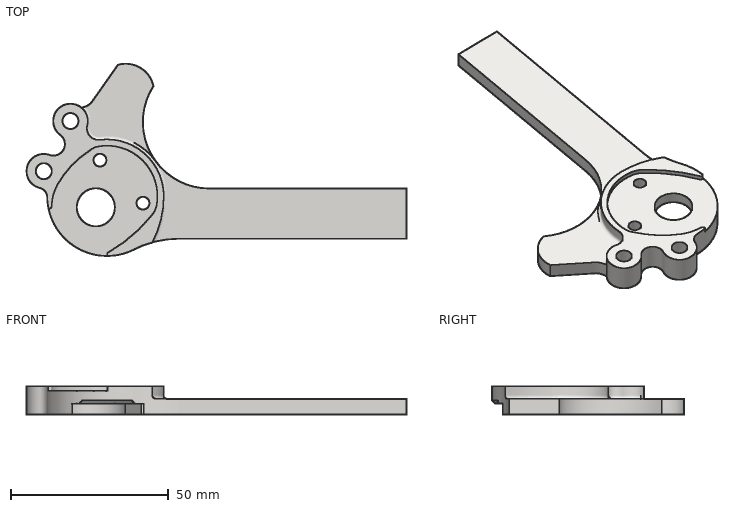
import cadquery as cq
import math


HUB_HEIGHT = 9.0
PLATE_HEIGHT = 5.0
RECESS_DEPTH = 1.5
POCKET_DEPTH = 3.5
OVERLAP = 1.0

HUB_OFFSET = 5.0
HUB_CENTER = (HUB_OFFSET * math.sqrt(0.5), HUB_OFFSET * math.sqrt(0.5))
HUB_BACK_ANGLE = 45.0
HUB_FRONT_ANGLE = HUB_BACK_ANGLE + 180.0
HUB_RADIUS = 19.0
STEP_FILLET = 1.0
WALL_RADIUS = HUB_RADIUS - STEP_FILLET
WALL_FLANK_RADIUS = 31.5
WALL_FLANK_ANGLE = 40.0
LUG_EXIT_ANGLE = 60.0
LUG_WALL_ANGLE = 10.0

BORE_CENTER = (0.0, 0.0)
BORE_DIAMETER = 12.0
SCREW_HOLE_DIAMETER = 4.0
SCREW_CIRCLE_RADIUS = 15.0
SCREW_ANGLES = (5.0, 85.0)

UPPER_LUG = (-8.05, 27.35)
LOWER_LUG = (-16.5, 11.45)
LUG_RADIUS = 5.5
UPPER_LUG_OUTER_ANGLE = 150.0
LOWER_LUG_OUTER_ANGLE = 170.0
LUG_HOLE_DIAMETER = 5.0
LUG_NOTCH_RADIUS = 3.6
LUG_HUB_FILLET = 3.0
LUG_WALL_FILLET = 3.7

ARM_END = 98.5
ARM_TOP = 6.0
ARM_BOTTOM = -10.0
ARM_TOP_RADIUS = 21.0
ARM_BOTTOM_RADIUS = 31.0
FINGER_TIP_RIGHT_Y = 38.4
FINGER_TIP_MIDDLE = (13.5, 44.6)
FINGER_TIP_LEFT = (7.0, 45.2)
FINGER_ROOT = (-1.3, 33.4)
FINGER_ROOT_MIDDLE = (-2.6, 32.3)
FINGER_ROOT_ANGLE = 52.0

RECESS_RADIUS = 16.0
RECESS_JOIN_ANGLE = 11.0
RECESS_RIGHT_CORNER_MIDDLE = (18.6, -1.2)
RECESS_RIGHT_CORNER_END = (17.6, -2.7)
RECESS_RIGHT_SIDE_MIDDLE = (11.7, -8.8)
RECESS_RIGHT_SIDE_END = (3.8, -14.4)
RECESS_RIGHT_LIP_MIDDLE = (3.6, -15.1)
RECESS_RIGHT_LIP_END = (4.6, -15.6)
RECESS_LEFT_LIP_END = (-15.4, 0.9)
RECESS_LEFT_LIP_MIDDLE = (-14.6, -0.4)
RECESS_LEFT_SIDE_START = (-14.0, 0.4)
RECESS_LEFT_SIDE_MIDDLE = (-13.8, 2.5)
RECESS_LEFT_SIDE_END = (-12.1, 7.3)
RECESS_LEFT_SHOULDER_MIDDLE = (-8.0, 12.9)
RECESS_LEFT_SHOULDER_END = (-2.1, 17.9)
RECESS_TOP_CORNER_MIDDLE = (-0.8, 18.75)

POCKET_RADIUS = 10.2
POCKET_RIGHT_ANGLE = -23.0
POCKET_LEFT_ANGLE = 205.0
POCKET_LEFT_MOUTH = (-7.5, -11.7)
POCKET_RIGHT_CORNER = (14.45, -12.0)
POCKET_RIGHT_MOUTH = (15.2, -12.0)

RIM_CHAMFER = 1.0
RIM_CHAMFER_HALF_WIDTH = 8.8


def polar(center, radius, degrees):
    """Point on a circle."""
    angle = math.radians(degrees)
    return (center[0] + radius * math.cos(angle), center[1] + radius * math.sin(angle))


def toward(start, end, distance):
    """Point at a distance from start on the line to end."""
    length = math.dist(start, end)
    return (
        start[0] + (end[0] - start[0]) * distance / length,
        start[1] + (end[1] - start[1]) * distance / length,
    )


def circle_meeting(first, first_distance, second, second_distance):
    """Point at the given distances from two centers, on the left when going first to second."""
    span = math.dist(first, second)
    along = (first_distance**2 - second_distance**2 + span**2) / (2 * span)
    aside = math.sqrt(first_distance**2 - along**2)
    ux = (second[0] - first[0]) / span
    uy = (second[1] - first[1]) / span
    return (first[0] + along * ux - aside * uy, first[1] + along * uy + aside * ux)


def plan_outline():
    """Full outline of the part, run clockwise from the lower end of the arm."""
    hub_x, hub_y = HUB_CENTER
    bottom_reach = HUB_RADIUS + ARM_BOTTOM_RADIUS
    bottom_y = ARM_BOTTOM - ARM_BOTTOM_RADIUS
    bottom_center = (hub_x + math.sqrt(bottom_reach**2 - (hub_y - bottom_y) ** 2), bottom_y)
    hub_start = toward(HUB_CENTER, bottom_center, HUB_RADIUS)
    bottom_middle = toward(
        bottom_center,
        ((hub_start[0] + bottom_center[0]) / 2, (hub_start[1] + ARM_BOTTOM) / 2),
        ARM_BOTTOM_RADIUS,
    )

    hub_fillet = circle_meeting(
        HUB_CENTER, HUB_RADIUS + LUG_HUB_FILLET, LOWER_LUG, LUG_RADIUS + LUG_HUB_FILLET
    )
    hub_end = toward(hub_fillet, HUB_CENTER, LUG_HUB_FILLET)
    lower_lug_start = toward(hub_fillet, LOWER_LUG, LUG_HUB_FILLET)
    hub_fillet_middle = toward(
        hub_fillet,
        ((hub_end[0] + lower_lug_start[0]) / 2, (hub_end[1] + lower_lug_start[1]) / 2),
        LUG_HUB_FILLET,
    )

    notch_reach = LUG_RADIUS + LUG_NOTCH_RADIUS
    notch = circle_meeting(LOWER_LUG, notch_reach, UPPER_LUG, notch_reach)
    lower_lug_end = toward(notch, LOWER_LUG, LUG_NOTCH_RADIUS)
    upper_lug_start = toward(notch, UPPER_LUG, LUG_NOTCH_RADIUS)
    notch_middle = toward(notch, HUB_CENTER, LUG_NOTCH_RADIUS)

    top_reach = HUB_RADIUS + ARM_TOP_RADIUS
    top_y = ARM_TOP + ARM_TOP_RADIUS
    top_center = (hub_x + math.sqrt(top_reach**2 - (top_y - hub_y) ** 2), top_y)
    tip_rise = FINGER_TIP_RIGHT_Y - top_y
    tip_right = (top_center[0] - math.sqrt(ARM_TOP_RADIUS**2 - tip_rise**2), FINGER_TIP_RIGHT_Y)

    return (
        cq.Workplane("XY")
        .moveTo(ARM_END, ARM_BOTTOM)
        .lineTo(bottom_center[0], ARM_BOTTOM)
        .threePointArc(bottom_middle, hub_start)
        .threePointArc(polar(HUB_CENTER, HUB_RADIUS, HUB_FRONT_ANGLE), hub_end)
        .threePointArc(hub_fillet_middle, lower_lug_start)
        .threePointArc(polar(LOWER_LUG, LUG_RADIUS, LOWER_LUG_OUTER_ANGLE), lower_lug_end)
        .threePointArc(notch_middle, upper_lug_start)
        .threePointArc(
            polar(UPPER_LUG, LUG_RADIUS, UPPER_LUG_OUTER_ANGLE),
            polar(UPPER_LUG, LUG_RADIUS, FINGER_ROOT_ANGLE),
        )
        .threePointArc(FINGER_ROOT_MIDDLE, FINGER_ROOT)
        .lineTo(*FINGER_TIP_LEFT)
        .threePointArc(FINGER_TIP_MIDDLE, tip_right)
        .threePointArc(toward(top_center, HUB_CENTER, ARM_TOP_RADIUS), (top_center[0], ARM_TOP))
        .lineTo(ARM_END, ARM_TOP)
        .close()
    )


def step_cutter():
    """Space above the arm and finger, with a rounded bottom edge along the hub wall."""
    fillet_center = circle_meeting(
        UPPER_LUG, LUG_RADIUS + LUG_WALL_FILLET, HUB_CENTER, WALL_RADIUS + LUG_WALL_FILLET
    )
    lug_exit = polar(UPPER_LUG, LUG_RADIUS, LUG_EXIT_ANGLE)
    lug_end = toward(fillet_center, UPPER_LUG, LUG_WALL_FILLET)
    wall_start = toward(fillet_center, HUB_CENTER, LUG_WALL_FILLET)
    fillet_middle = toward(
        fillet_center,
        ((lug_end[0] + wall_start[0]) / 2, (lug_end[1] + wall_start[1]) / 2),
        LUG_WALL_FILLET,
    )
    wall_end = polar(HUB_CENTER, WALL_RADIUS, 0)
    flank_center = (wall_end[0] - WALL_FLANK_RADIUS, HUB_CENTER[1])
    flank_end = polar(flank_center, WALL_FLANK_RADIUS, -WALL_FLANK_ANGLE)
    far_x = ARM_END + OVERLAP
    far_y = FINGER_TIP_LEFT[1] + 2 * OVERLAP
    cutter = (
        cq.Workplane("XY")
        .workplane(offset=PLATE_HEIGHT)
        .moveTo(lug_exit[0], far_y)
        .lineTo(*lug_exit)
        .threePointArc(polar(UPPER_LUG, LUG_RADIUS, LUG_WALL_ANGLE), lug_end)
        .threePointArc(fillet_middle, wall_start)
        .threePointArc(polar(HUB_CENTER, WALL_RADIUS, HUB_BACK_ANGLE), wall_end)
        .threePointArc(
            polar(flank_center, WALL_FLANK_RADIUS, -WALL_FLANK_ANGLE / 2), flank_end
        )
        .lineTo(far_x, flank_end[1])
        .lineTo(far_x, far_y)
        .close()
        .extrude(HUB_HEIGHT - PLATE_HEIGHT + OVERLAP)
    )
    return cutter.faces("<Z").edges("%CIRCLE").fillet(STEP_FILLET)


def recess_cutter():
    """Shallow recess in the hub top, open along the lower-left rim."""
    right_join = polar(HUB_CENTER, RECESS_RADIUS, -RECESS_JOIN_ANGLE)
    top_join = polar(HUB_CENTER, RECESS_RADIUS, 90 + RECESS_JOIN_ANGLE)
    outside = polar(HUB_CENTER, HUB_RADIUS + 3 * OVERLAP, HUB_FRONT_ANGLE)
    return (
        cq.Workplane("XY")
        .workplane(offset=HUB_HEIGHT - RECESS_DEPTH)
        .moveTo(*top_join)
        .threePointArc(polar(HUB_CENTER, RECESS_RADIUS, HUB_BACK_ANGLE), right_join)
        .threePointArc(RECESS_RIGHT_CORNER_MIDDLE, RECESS_RIGHT_CORNER_END)
        .threePointArc(RECESS_RIGHT_SIDE_MIDDLE, RECESS_RIGHT_SIDE_END)
        .threePointArc(RECESS_RIGHT_LIP_MIDDLE, RECESS_RIGHT_LIP_END)
        .threePointArc(outside, RECESS_LEFT_LIP_END)
        .threePointArc(RECESS_LEFT_LIP_MIDDLE, RECESS_LEFT_SIDE_START)
        .threePointArc(RECESS_LEFT_SIDE_MIDDLE, RECESS_LEFT_SIDE_END)
        .threePointArc(RECESS_LEFT_SHOULDER_MIDDLE, RECESS_LEFT_SHOULDER_END)
        .threePointArc(RECESS_TOP_CORNER_MIDDLE, top_join)
        .close()
        .extrude(RECESS_DEPTH + OVERLAP)
    )


def pocket_cutter():
    """Round pocket under the hub that widens to a mouth in the front rim."""
    left_join = polar(BORE_CENTER, POCKET_RADIUS, POCKET_LEFT_ANGLE)
    right_join = polar(BORE_CENTER, POCKET_RADIUS, POCKET_RIGHT_ANGLE)
    mouth_y = HUB_CENTER[1] - HUB_RADIUS - OVERLAP
    return (
        cq.Workplane("XY")
        .workplane(offset=-OVERLAP)
        .moveTo(*POCKET_LEFT_MOUTH)
        .lineTo(*left_join)
        .threePointArc(polar(BORE_CENTER, POCKET_RADIUS, 90), right_join)
        .lineTo(*POCKET_RIGHT_CORNER)
        .lineTo(*POCKET_RIGHT_MOUTH)
        .lineTo(POCKET_RIGHT_MOUTH[0], mouth_y)
        .lineTo(POCKET_LEFT_MOUTH[0], mouth_y)
        .close()
        .extrude(POCKET_DEPTH + OVERLAP)
    )


def rim_chamfer_cutter():
    """Cone-shaped chamfer of the rim edge over the pocket mouth, with sloped ends."""
    top_z = POCKET_DEPTH + RIM_CHAMFER
    ring = (
        cq.Workplane("XZ")
        .polyline(
            [
                (HUB_RADIUS - RIM_CHAMFER, POCKET_DEPTH),
                (HUB_RADIUS + RIM_CHAMFER, POCKET_DEPTH),
                (HUB_RADIUS + RIM_CHAMFER, top_z + RIM_CHAMFER),
            ]
        )
        .close()
        .revolve(360, (0, 0), (0, 1))
        .translate((HUB_CENTER[0], HUB_CENTER[1], 0))
    )
    left = HUB_CENTER[0] - RIM_CHAMFER_HALF_WIDTH
    right = HUB_CENTER[0] + RIM_CHAMFER_HALF_WIDTH
    window = (
        cq.Workplane("XZ")
        .polyline(
            [
                (left, POCKET_DEPTH),
                (right, POCKET_DEPTH),
                (right - RIM_CHAMFER, top_z),
                (left + RIM_CHAMFER, top_z),
            ]
        )
        .close()
        .extrude(HUB_RADIUS + OVERLAP)
    )
    return ring.intersect(window)


def hole_cutter(points, diameter):
    """Through holes at the given points."""
    return (
        cq.Workplane("XY")
        .workplane(offset=-OVERLAP)
        .pushPoints(points)
        .circle(diameter / 2)
        .extrude(HUB_HEIGHT + 2 * OVERLAP)
    )


screw_points = [polar(BORE_CENTER, SCREW_CIRCLE_RADIUS, angle) for angle in SCREW_ANGLES]

body = plan_outline().extrude(HUB_HEIGHT)
body = body.cut(step_cutter())
body = body.cut(recess_cutter())
body = body.cut(pocket_cutter())
body = body.cut(rim_chamfer_cutter())
body = body.cut(hole_cutter([BORE_CENTER], BORE_DIAMETER))
body = body.cut(hole_cutter(screw_points, SCREW_HOLE_DIAMETER))
result = body.cut(hole_cutter([UPPER_LUG, LOWER_LUG], LUG_HOLE_DIAMETER))